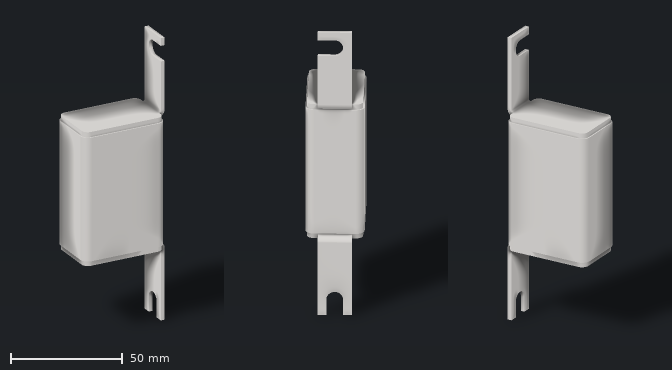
import cadquery as cq
import math

overall_height = 137.6
overall_depth = 43.8
body_width = 26.5
body_height = 60.3
corner_radius = 3.9
cap_inset = 0.7
cap_thickness = 2.5
tab_width = 15.3
tab_thickness = 1.9
tab_offset = 2.2
bend_radius = 1.0
foot_embedment = 1.4
slot_width = 7.5
side_slot_distance = 7.5
end_slot_depth = 7.4

body_depth = overall_depth - tab_offset
body_back = body_depth / 2
capped_height = body_height + 2 * cap_thickness
tab_end = overall_height / 2
tab_back = body_back + tab_offset
tab_front = tab_back - tab_thickness
side_slot_z = tab_end - side_slot_distance
end_slot_z = end_slot_depth - tab_end


def rounded_block(width, depth, height, radius):
    return cq.Workplane("XY").box(width, depth, height).edges("|Z").fillet(radius)


def upper_tab():
    """Flat strip with a quarter bend into a foot that enters the upper cap flush with its top."""
    bend_z = capped_height / 2 + bend_radius
    bend_y = tab_front - bend_radius
    foot_y = bend_y - foot_embedment
    outer_radius = bend_radius + tab_thickness
    diagonal = math.sqrt(0.5)
    inner_mid = (bend_y + bend_radius * diagonal, bend_z - bend_radius * diagonal)
    outer_mid = (bend_y + outer_radius * diagonal, bend_z - outer_radius * diagonal)
    strip = (
        cq.Workplane("YZ")
        .moveTo(tab_front, tab_end)
        .lineTo(tab_back, tab_end)
        .lineTo(tab_back, bend_z)
        .threePointArc(outer_mid, (bend_y, bend_z - outer_radius))
        .lineTo(foot_y, bend_z - outer_radius)
        .lineTo(foot_y, bend_z - bend_radius)
        .lineTo(bend_y, bend_z - bend_radius)
        .threePointArc(inner_mid, (tab_front, bend_z))
        .close()
    )
    return strip.extrude(tab_width / 2, both=True)


def open_slot(center_z, angle):
    """Round-ended cutter centred on the tab and running out at the given angle from +X."""
    length = tab_width
    half_width = slot_width / 2
    cutter = (
        cq.Workplane("XZ", origin=(0, tab_back, 0))
        .moveTo(length, half_width)
        .lineTo(0, half_width)
        .threePointArc((-half_width, 0), (0, -half_width))
        .lineTo(length, -half_width)
        .close()
        .extrude(tab_thickness)
    )
    return cutter.rotate((0, 0, 0), (0, 1, 0), -angle).translate((0, 0, center_z))


body = rounded_block(body_width, body_depth, body_height, corner_radius)
cap_core = rounded_block(
    body_width - 2 * cap_inset,
    body_depth - 2 * cap_inset,
    capped_height,
    corner_radius - cap_inset,
)

tab_blank = upper_tab()
side_slotted_tab = tab_blank.cut(open_slot(side_slot_z, 0))
end_slotted_tab = tab_blank.mirror("XY").cut(open_slot(end_slot_z, -90))

result = body.union(cap_core).union(side_slotted_tab).union(end_slotted_tab)